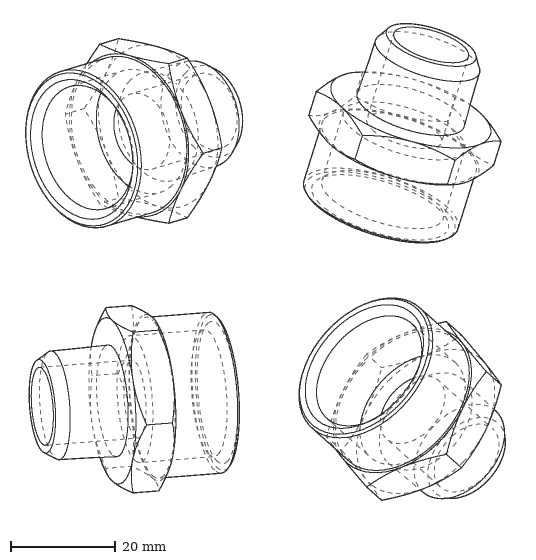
import cadquery as cq
import math

collar_length = 13.0
hex_length = 8.0
spigot_length = 14.0
total_length = collar_length + hex_length + spigot_length

collar_diameter = 31.0
collar_chamfer = 0.5
hex_sides = 6
hex_across_flats = 32.0
hex_chamfer_angle = 30.0
spigot_base_diameter = 21.5
spigot_tip_diameter = 20.95
spigot_end_diameter = 18.0
spigot_chamfer_length = 2.5

bore_diameter = 15.0
socket_diameter = 24.4
socket_depth = 16.5
socket_mouth_diameter = 27.4
socket_mouth_depth = 1.65

hex_start = collar_length
hex_end = collar_length + hex_length


def revolve_about_y(points):
    """Solid of revolution about Y bounded by the closed (radius, y) outline."""
    return cq.Workplane("XY").polyline(points).close().revolve(360, (0, 0, 0), (0, 1, 0))


def make_collar():
    radius = collar_diameter / 2
    return revolve_about_y([
        (0, 0),
        (radius - collar_chamfer, 0),
        (radius, collar_chamfer),
        (radius, hex_start),
        (0, hex_start),
    ])


def make_hexagon():
    """Hexagon with corners on X, its corners bevelled by a cone on each face."""
    across_corners = hex_across_flats / math.cos(math.pi / hex_sides)
    flat_radius = hex_across_flats / 2
    corner_radius = across_corners / 2
    bevel_length = (corner_radius - flat_radius) * math.tan(math.radians(hex_chamfer_angle))
    prism = (
        cq.Workplane("XZ", origin=(0, hex_start, 0))
        .polygon(hex_sides, across_corners)
        .extrude(-hex_length)
    )
    bevel_envelope = revolve_about_y([
        (0, hex_start),
        (flat_radius, hex_start),
        (corner_radius, hex_start + bevel_length),
        (corner_radius, hex_end - bevel_length),
        (flat_radius, hex_end),
        (0, hex_end),
    ])
    return prism.intersect(bevel_envelope)


def make_spigot():
    """Slightly tapered spigot with a steeper lead-in at its free end."""
    return revolve_about_y([
        (0, hex_end),
        (spigot_base_diameter / 2, hex_end),
        (spigot_tip_diameter / 2, total_length - spigot_chamfer_length),
        (spigot_end_diameter / 2, total_length),
        (0, total_length),
    ])


def make_cavity():
    """Conical mouth, cylindrical socket and through bore."""
    return revolve_about_y([
        (0, 0),
        (socket_mouth_diameter / 2, 0),
        (socket_diameter / 2, socket_mouth_depth),
        (socket_diameter / 2, socket_depth),
        (bore_diameter / 2, socket_depth),
        (bore_diameter / 2, total_length),
        (0, total_length),
    ])


result = make_collar().union(make_hexagon()).union(make_spigot()).cut(make_cavity())